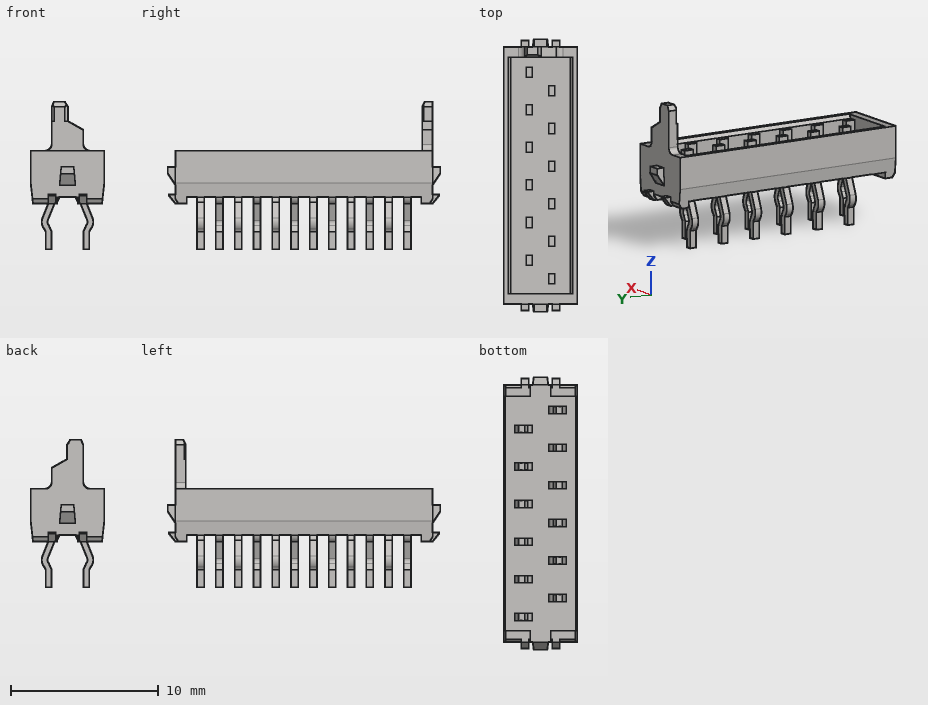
import cadquery as cq
import math

total_length = 18.42

body_width = 5.0
body_length = 17.39
body_top = 3.6
body_bottom = 0.45
taper_top = 1.4
taper_inset = 0.157
end_wall = 0.72
cavity_width = 4.05
cavity_floor = 1.73
lead_in_width = 0.17
lead_in_height = 0.28

foot_length = 0.77
foot_gap = 1.38
foot_bevel_height = 0.33
foot_bevel_depth = 0.2

nib_width = 0.52
nib_offset = 1.05
nib_top = 0.63
nib_reach = 0.45
nib_lip = 0.07

latch_reach = (total_length - body_length) / 2
latch_top = 2.49
latch_edge = 2.03
latch_bottom = 1.25
latch_top_width = 0.85
latch_bottom_width = 1.07

key_width = 2.15
key_top = 6.9
key_shoulder = 5.58
key_slope_end = 5.0
key_tip_right = 0.04
key_root_radius = 0.42
tip_bevel_height = 0.37
tip_bevel_left = 0.17
tip_bevel_right = 0.22
tip_bevel_front = 0.18
tip_edge_depth = 0.13

pin_count = 12
pin_pitch = 1.27
contact_offset = 0.75
contact_thickness = 0.42
contact_width = 0.68
contact_top = 3.6
leg_thickness = 0.4
leg_width = 0.5
leg_offset = pin_pitch
leg_bottom = -3.1
leg_kink = -1.88
elbow_x = -1.01
elbow_z = -1.23
elbow_radius = 0.33
elbow_upper_angle = 22
elbow_lower_angle = 40
shank_bend_top = 0.52
shank_bend_outer = 0.11
shank_bend_inner = 0.0
pin_root = 1.1

half_length = body_length / 2


def extrude_along_y(outline, y_start, y_end):
    """Extrude an XZ outline between two Y positions."""
    return outline.extrude(y_start - y_end).translate((0, y_start, 0))


def box_between(x_range, y_range, z_range):
    """Make a box from its limits along X, Y and Z."""
    size = [high - low for low, high in (x_range, y_range, z_range)]
    corner = (x_range[0], y_range[0], z_range[0])
    return cq.Workplane("XY").box(*size, centered=False).translate(corner)


def both_ends(shape):
    """Return a +Y end feature together with its copy at the -Y end."""
    return shape.union(shape.mirror("XZ"))


def make_housing():
    top_x = body_width / 2
    bottom_x = top_x - taper_inset
    section = (
        cq.Workplane("XZ")
        .polyline([(-bottom_x, 0), (bottom_x, 0), (top_x, taper_top), (top_x, body_top),
                   (-top_x, body_top), (-top_x, taper_top)])
        .close()
    )
    housing = extrude_along_y(section, -half_length, half_length)

    foot_start = half_length - foot_length
    underside = box_between((-top_x, top_x), (-foot_start, foot_start), (0, body_bottom))

    gap = box_between((-foot_gap / 2, foot_gap / 2), (-half_length, half_length), (0, body_bottom))

    bevel = (
        cq.Workplane("YZ")
        .polyline([(half_length - foot_bevel_depth, 0), (half_length, 0), (half_length, foot_bevel_height)])
        .close()
        .extrude(top_x, both=True)
    )
    return housing.cut(underside).cut(gap).cut(both_ends(bevel))


def make_cavity():
    floor_x = cavity_width / 2
    mouth_x = floor_x + lead_in_width
    lead_in_bottom = body_top - lead_in_height
    section = (
        cq.Workplane("XZ")
        .polyline([(-floor_x, cavity_floor), (floor_x, cavity_floor), (floor_x, lead_in_bottom),
                   (mouth_x, body_top), (-mouth_x, body_top), (-floor_x, lead_in_bottom)])
        .close()
    )
    cavity_end = half_length - end_wall
    return extrude_along_y(section, -cavity_end, cavity_end)


def make_nibs():
    root_y = half_length - foot_bevel_depth
    tip_y = half_length + nib_reach
    nib = (
        cq.Workplane("YZ")
        .polyline([(root_y, 0), (half_length, 0), (tip_y, nib_top - nib_lip),
                   (tip_y, nib_top), (root_y, nib_top)])
        .close()
        .extrude(nib_width / 2, both=True)
    )
    pair = nib.translate((-nib_offset, 0, 0)).union(nib.translate((nib_offset, 0, 0)))
    return both_ends(pair)


def make_latches():
    front = (
        cq.Workplane("XZ")
        .polyline([(-latch_bottom_width / 2, latch_bottom), (latch_bottom_width / 2, latch_bottom),
                   (latch_top_width / 2, latch_top), (-latch_top_width / 2, latch_top)])
        .close()
    )
    block = extrude_along_y(front, half_length, half_length + latch_reach)
    wedge = (
        cq.Workplane("YZ")
        .polyline([(half_length, latch_bottom), (half_length + latch_reach, latch_edge),
                   (half_length + latch_reach, latch_top), (half_length, latch_top)])
        .close()
        .extrude(latch_bottom_width, both=True)
    )
    return both_ends(block.intersect(wedge))


def make_key():
    left = -key_width / 2
    right = key_width / 2
    inner_y = half_length - end_wall
    bevel_bottom = key_top - tip_bevel_height
    arc_mid = key_root_radius * (1 - math.sqrt(0.5))
    outline = (
        cq.Workplane("XZ")
        .moveTo(left - key_root_radius, body_top)
        .threePointArc((left - arc_mid, body_top + arc_mid), (left, body_top + key_root_radius))
        .lineTo(left, bevel_bottom)
        .lineTo(left + tip_bevel_left, key_top)
        .lineTo(key_tip_right - tip_bevel_right, key_top)
        .lineTo(key_tip_right, bevel_bottom)
        .lineTo(key_tip_right, key_shoulder)
        .lineTo(right, key_slope_end)
        .lineTo(right, body_top + key_root_radius)
        .threePointArc((right + arc_mid, body_top + arc_mid), (right + key_root_radius, body_top))
        .close()
    )
    key = extrude_along_y(outline, inner_y, half_length)

    top_bevel = (
        cq.Workplane("YZ")
        .polyline([(inner_y, bevel_bottom), (inner_y, key_top), (inner_y + tip_bevel_front, key_top)])
        .close()
        .extrude(key_width, both=True)
    )
    key = key.cut(top_bevel)

    for edge_x, inset in ((left, tip_bevel_left), (key_tip_right, -tip_bevel_right)):
        edge_bevel = (
            cq.Workplane("XY", origin=(0, 0, key_shoulder))
            .polyline([(edge_x, inner_y), (edge_x + inset, inner_y),
                       (edge_x, inner_y + tip_edge_depth)])
            .close()
            .extrude(key_top - key_shoulder)
        )
        key = key.cut(edge_bevel)
    return key


def elbow_point(radius, angle):
    """Point on the elbow, at an angle above the -X direction."""
    turn = math.radians(angle)
    return (elbow_x - radius * math.cos(turn), elbow_z + radius * math.sin(turn))


def tangent_radius(run, drop):
    """Radius of an arc that starts upright and ends a given run and drop away."""
    return (run**2 + drop**2) / (2 * run)


def make_leg():
    """Kinked leg of the -X row, centred on Y = 0."""
    outer_radius = elbow_radius + leg_thickness
    leg_outer_x = -leg_offset - leg_thickness / 2
    leg_inner_x = -leg_offset + leg_thickness / 2
    shank_outer_x = -contact_offset - leg_thickness / 2
    shank_inner_x = -contact_offset + leg_thickness / 2

    upper_slope = math.tan(math.radians(elbow_upper_angle))
    outer_elbow_x, outer_elbow_z = elbow_point(outer_radius, elbow_upper_angle)
    inner_elbow_x, inner_elbow_z = elbow_point(elbow_radius, elbow_upper_angle)
    outer_bend_x = outer_elbow_x + (shank_bend_outer - outer_elbow_z) * upper_slope
    inner_bend_x = inner_elbow_x + (shank_bend_inner - inner_elbow_z) * upper_slope

    outer_bend_radius = tangent_radius(shank_outer_x - outer_bend_x, shank_bend_top - shank_bend_outer)
    inner_bend_radius = tangent_radius(shank_inner_x - inner_bend_x, shank_bend_top - shank_bend_inner)

    outline = (
        cq.Workplane("XZ")
        .moveTo(shank_outer_x, pin_root)
        .lineTo(shank_outer_x, shank_bend_top)
        .radiusArc((outer_bend_x, shank_bend_outer), outer_bend_radius)
        .lineTo(outer_elbow_x, outer_elbow_z)
        .threePointArc(elbow_point(outer_radius, 0), elbow_point(outer_radius, -elbow_lower_angle))
        .lineTo(leg_outer_x, leg_kink)
        .lineTo(leg_outer_x, leg_bottom)
        .lineTo(leg_inner_x, leg_bottom)
        .lineTo(leg_inner_x, leg_kink)
        .lineTo(*elbow_point(elbow_radius, -elbow_lower_angle))
        .threePointArc(elbow_point(elbow_radius, 0), (inner_elbow_x, inner_elbow_z))
        .lineTo(inner_bend_x, shank_bend_inner)
        .radiusArc((shank_inner_x, shank_bend_top), -inner_bend_radius)
        .lineTo(shank_inner_x, pin_root)
        .close()
    )
    return extrude_along_y(outline, -leg_width / 2, leg_width / 2)


def make_contact():
    """Straight contact of the -X row, rooted in the cavity floor."""
    return box_between(
        (-contact_offset - contact_thickness / 2, -contact_offset + contact_thickness / 2),
        (-contact_width / 2, contact_width / 2),
        (pin_root, contact_top),
    )


result = make_housing().cut(make_cavity())
result = result.union(make_nibs()).union(make_latches()).union(make_key())

left_parts = (make_leg(), make_contact())
right_parts = tuple(part.mirror("YZ") for part in left_parts)
first_pin_y = (pin_count - 1) * pin_pitch / 2
for index in range(pin_count):
    pin_y = first_pin_y - index * pin_pitch
    for part in left_parts if index % 2 == 0 else right_parts:
        result = result.union(part.translate((0, pin_y, 0)))